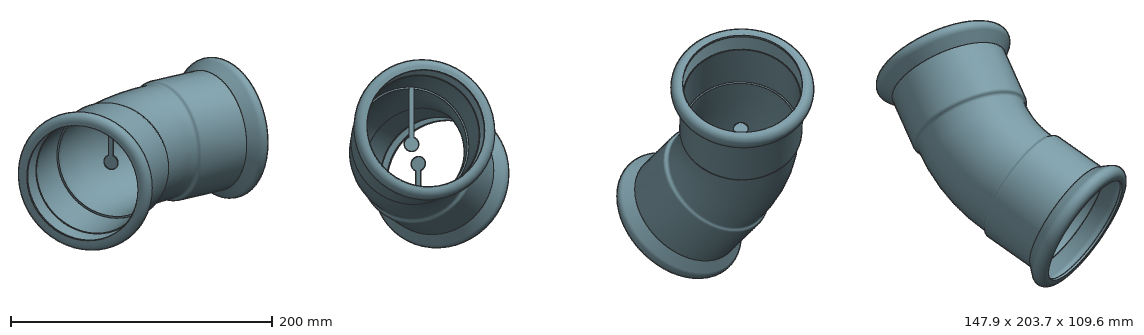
import cadquery as cq
import math

bend_angle = 30
bend_radius = 114.5
tube_outer = 44.4
tube_bore = 43.4

socket_outer = 46.8
wall = 2.0
socket_bore = socket_outer - wall
socket_length = 65.0
stop_depth = 59.5
shoulder_length = 4.9

lip_round = 6.1
lip_centre = 48.7
lip_mouth = 45.8
cone_end_depth = 17.7
cavity_step = 0.6
cone_lean = math.radians(38)

gauge_disc_radius = 5.7
gauge_bar_width = 3.9
gauge_thickness = 1.0


def on_lip(radius, angle):
    """Point (radius, depth) on a lip circle; angle is measured from outward toward the socket."""
    return (lip_centre + radius * math.cos(angle), lip_round + radius * math.sin(angle))


def make_socket_wall():
    cavity_round = lip_round - wall
    shoulder_start = (socket_outer, socket_length - shoulder_length)
    shoulder_middle = ((socket_outer + tube_outer) / 2, socket_length - shoulder_length / 2)
    arc_middle = (cone_lean - math.pi / 2) / 2
    profile = (
        cq.Workplane("XY")
        .moveTo(lip_mouth, 0)
        .lineTo(lip_centre, 0)
        .threePointArc(on_lip(lip_round, arc_middle), on_lip(lip_round, cone_lean))
        .lineTo(socket_outer, cone_end_depth)
        .lineTo(*shoulder_start)
        .tangentArcPoint(shoulder_middle, relative=False)
        .tangentArcPoint((tube_outer, socket_length), relative=False)
        .lineTo(tube_bore, socket_length)
        .lineTo(tube_bore, stop_depth)
        .lineTo(socket_bore, stop_depth)
        .lineTo(socket_bore, cone_end_depth)
        .lineTo(socket_bore + cavity_step, cone_end_depth)
        .lineTo(*on_lip(cavity_round, cone_lean))
        .threePointArc(on_lip(cavity_round, arc_middle), on_lip(cavity_round, -math.pi / 2))
        .lineTo(lip_mouth, wall)
        .close()
    )
    return profile.revolve(360, (0, 0), (0, 1))


def make_gauge(side):
    """Gauge plate against the socket stop; side +1 hangs it from +Z, -1 from -Z."""
    bar_length = (socket_bore + socket_outer) / 2
    plane = cq.Workplane("XZ", origin=(0, stop_depth, 0))
    disc = plane.circle(gauge_disc_radius).extrude(gauge_thickness)
    bar = (
        plane.center(0, side * bar_length / 2)
        .rect(gauge_bar_width, bar_length)
        .extrude(gauge_thickness)
    )
    return disc.union(bar)


def make_socket(gauge_side):
    return make_socket_wall().union(make_gauge(gauge_side))


def make_bend():
    return (
        cq.Workplane("XZ", origin=(0, socket_length, 0))
        .circle(tube_outer)
        .circle(tube_bore)
        .revolve(bend_angle, (bend_radius, 0), (bend_radius, -1))
    )


near_socket = make_socket(1)
far_socket = (
    make_socket(-1)
    .mirror("XZ")
    .translate((0, 2 * socket_length, 0))
    .rotate((bend_radius, socket_length, 0), (bend_radius, socket_length, 1), -bend_angle)
)

result = near_socket.union(make_bend()).union(far_socket)